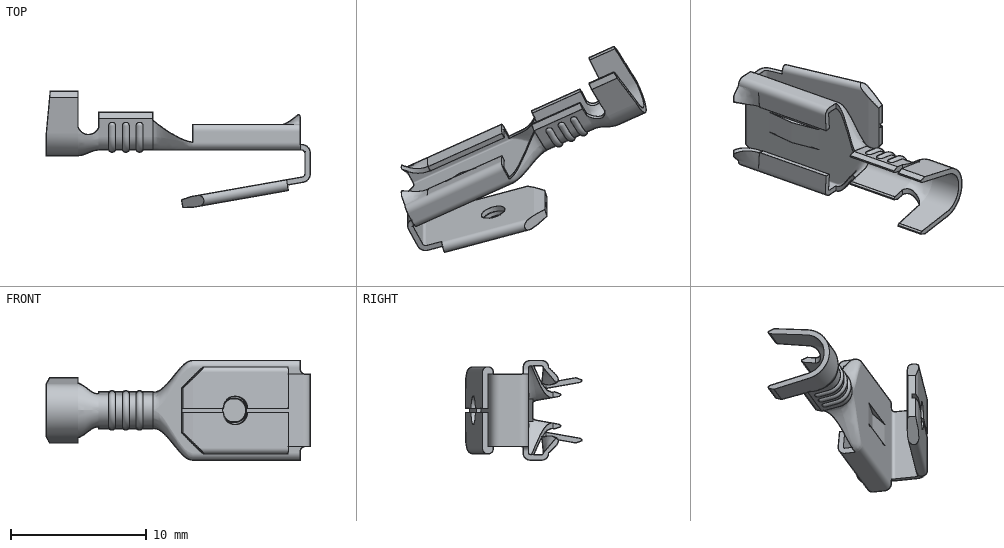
import cadquery as cq
import math

SHEET = 0.4
WING_LEAN = 10.0

CRIMP_END = 2.36
BARREL_START = 3.88
BARREL_END = 7.88
BOX_START = 10.8
BOX_END = 18.77
OVERALL_LENGTH = 19.51

CRIMP_RADIUS = 1.97
CRIMP_BASE = -0.43
CRIMP_TOP = 4.35
CRIMP_FRONT_SLANT = 0.3
CRIMP_BEND_TOP = 1.2

BARREL_RADIUS = 1.15
BARREL_TOP = 2.79
RIB_RADIUS = 0.27
RIB_HEIGHT = 0.18
RIB_TOP = 2.09
RIB_PITCH = 1.01
RIB_COUNT = 3

TIP_OUTER_BEVEL = 0.4
TIP_INNER_BEVEL = 0.15
TIP_OUTER_DEPTH = 0.23
TIP_INNER_DEPTH = 0.08

NECK_RIM = 1.72
SADDLE_RADIUS = 0.8
SADDLE_BOTTOM = 1.15

FUNNEL_FLAT_START = 0.02
FUNNEL_RIM_START = 2.2
FUNNEL_RIM_END = 0.59
FUNNEL_RIM_POWER = 1.5

BOX_HALF_WIDTH = 3.69
BOX_HEIGHT = 1.9
BOX_BEND = 0.53
FLANGE_LENGTH = 1.2
FLANGE_DIP = 5.0
FLARE_START = 16.92
FLARE_ANGLE = 45.0
FLARE_TOP = 2.65
FLARE_CORNER = 0.23

NECK_STEPS = 4
FUNNEL_STEPS = 6
FLARE_STEPS = 4

DETENT_START = 12.49
DETENT_END = 16.97
DETENT_DEPTH = 0.31
DETENT_HALF_WIDTH = 0.84

STRIP_HALF_WIDTH = 2.67
STRIP_BEND = 0.65
STRIP_LOWER_CENTRE = -1.75
STRIP_CORNER = 0.39
TAB_LEAN = 10.0

TAB_ROOT = 17.75
TAB_TIP = 9.97
TAB_HALF_WIDTH = 3.22
TAB_TIP_HALF_WIDTH = 1.64
TAB_CORNER_LENGTH = 1.6
TAB_BEVEL_LENGTH = 0.76
TAB_BEVEL_DEPTH = 0.12
SLOT_WIDTH = 0.3
HOLE_X = 13.85
HOLE_RADIUS = 0.9


def ease(fraction):
    """S-curve from 0 to 1 with flat ends."""
    return fraction * fraction * (3 - 2 * fraction)


def blend(start, end, fraction):
    return start + (end - start) * fraction


def on_arc(centre, radius, angle):
    """Point in (Z, Y) at an angle turned from -Y toward +Z."""
    a = math.radians(angle)
    return centre[0] + radius * math.sin(a), centre[1] - radius * math.cos(a)


def along(point, lean, distance, depth=0.0):
    """Point at a distance up a leaning wall and a depth to its inner side, in (Z, Y)."""
    a = math.radians(lean)
    return (point[0] + distance * math.sin(a) - depth * math.cos(a),
            point[1] + distance * math.cos(a) + depth * math.sin(a))


def section_plane(x):
    """Plane across the terminal: local x is Z, local y is Y."""
    return cq.Plane(origin=(x, 0, 0), xDir=(0, 0, 1), normal=(-1, 0, 0))


def half_channel(x, half_floor, radius, lean, base, rim, bevelled=False):
    """+Z half of a U-shaped sheet section at station x, ending at height rim."""
    turn = 90 - lean
    centre = (half_floor, base + radius)
    inner = radius - SHEET
    outer_bend = on_arc(centre, radius, turn)
    inner_bend = on_arc(centre, inner, turn)
    rise = math.cos(math.radians(lean))
    outer_length = (rim - outer_bend[1]) / rise
    inner_length = (rim - inner_bend[1]) / rise
    path = cq.Workplane(section_plane(x)).moveTo(0, base)
    if half_floor > 0:
        path = path.lineTo(half_floor, base)
    path = path.threePointArc(on_arc(centre, radius, turn / 2), outer_bend)
    if bevelled:
        tip_length = (rim - along(inner_bend, lean, 0, -TIP_INNER_DEPTH)[1]) / rise
        path = (path.lineTo(*along(outer_bend, lean, tip_length - TIP_OUTER_BEVEL))
                .lineTo(*along(outer_bend, lean, tip_length, TIP_OUTER_DEPTH))
                .lineTo(*along(inner_bend, lean, tip_length, -TIP_INNER_DEPTH))
                .lineTo(*along(inner_bend, lean, tip_length - TIP_INNER_BEVEL)))
    else:
        path = (path.lineTo(*along(outer_bend, lean, outer_length))
                .lineTo(*along(inner_bend, lean, inner_length)))
    path = (path.lineTo(*inner_bend)
            .threePointArc(on_arc(centre, inner, turn / 2), (half_floor, base + SHEET)))
    if half_floor > 0:
        path = path.lineTo(0, base + SHEET)
    return path.close()


def both_sides(half):
    return half.union(half.mirror("XY"))


def straight_channel(start, end, radius, base, top):
    half = half_channel(start, 0, radius, WING_LEAN, base, top, True)
    return both_sides(half.extrude(start - end))


def loft(sections):
    return cq.Workplane(cq.Solid.makeLoft([section.val() for section in sections]))


def lofted_channel(start, end, steps, shape):
    """Channel whose section is set by shape(fraction of the way along)."""
    fractions = [step / steps for step in range(steps + 1)]
    return both_sides(loft([half_channel(blend(start, end, f), *shape(f)) for f in fractions]))


def insulation_crimp():
    """Rolled crimp whose wings slope back at the front edge."""
    crimp = straight_channel(0, CRIMP_END, CRIMP_RADIUS, CRIMP_BASE, CRIMP_TOP)
    slant = (cq.Workplane("XY").moveTo(0, CRIMP_BEND_TOP).lineTo(CRIMP_FRONT_SLANT, CRIMP_TOP)
             .lineTo(0, CRIMP_TOP).close().extrude(2 * CRIMP_RADIUS, both=True))
    return crimp.cut(slant)


def neck():
    """Taper from crimp to wire barrel, dished between the two sets of wings."""
    def shape(fraction):
        part = ease(fraction)
        radius = blend(CRIMP_RADIUS, BARREL_RADIUS, part)
        return 0, radius, WING_LEAN, blend(CRIMP_BASE, 0, part), NECK_RIM

    body = lofted_channel(CRIMP_END, BARREL_START, NECK_STEPS, shape)
    saddle = (cq.Workplane("XY")
              .center((CRIMP_END + BARREL_START) / 2, SADDLE_BOTTOM + SADDLE_RADIUS)
              .circle(SADDLE_RADIUS).extrude(2 * CRIMP_RADIUS, both=True))
    return body.cut(saddle)


def wire_barrel():
    return straight_channel(BARREL_START, BARREL_END, BARREL_RADIUS, 0, BARREL_TOP)


def half_rib(x):
    """Round bead pressed out of one side of the wire barrel."""
    offset = RIB_HEIGHT - RIB_RADIUS
    centre = (0, BARREL_RADIUS)
    turn = 90 - WING_LEAN
    radius = BARREL_RADIUS + offset
    bend = on_arc(centre, radius, turn)
    rise = math.cos(math.radians(WING_LEAN))
    end = along(bend, WING_LEAN, (RIB_TOP - RIB_RADIUS - bend[1]) / rise)
    path = (cq.Workplane(section_plane(x)).moveTo(0, -offset)
            .threePointArc(on_arc(centre, radius, turn / 2), bend).lineTo(*end))
    bead = (cq.Workplane(cq.Plane(origin=(x, -offset, 0), xDir=(1, 0, 0), normal=(0, 0, 1)))
            .circle(RIB_RADIUS).sweep(path))
    cap = cq.Workplane("XY").sphere(RIB_RADIUS).translate((x, end[1], end[0]))
    return bead.union(cap)


def ribs():
    middle = (BARREL_START + BARREL_END) / 2
    beads = cq.Workplane("XY")
    for index in range(RIB_COUNT):
        x = middle + (index - (RIB_COUNT - 1) / 2) * RIB_PITCH
        beads = beads.union(both_sides(half_rib(x)))
    return beads


def funnel():
    """Open channel widening from the round wire barrel to the flat box floor."""
    def shape(fraction):
        part = ease(fraction)
        half_floor = blend(FUNNEL_FLAT_START, BOX_HALF_WIDTH - BOX_BEND, part)
        radius = blend(BARREL_RADIUS - FUNNEL_FLAT_START, BOX_BEND, part)
        rim = blend(FUNNEL_RIM_END, FUNNEL_RIM_START, (1 - fraction) ** FUNNEL_RIM_POWER)
        return half_floor, radius, blend(WING_LEAN, 0, part), 0, rim

    return lofted_channel(BARREL_END, BOX_START, FUNNEL_STEPS, shape)


def box():
    """C-shaped receptacle with both flanges returned over the floor."""
    lower = (BOX_HALF_WIDTH - BOX_BEND, BOX_BEND)
    upper = (BOX_HALF_WIDTH - BOX_BEND, BOX_HEIGHT - BOX_BEND)
    inner = BOX_BEND - SHEET
    flange_turn = 180 + FLANGE_DIP
    flange_lean = -90 - FLANGE_DIP
    outer_end = on_arc(upper, BOX_BEND, flange_turn)
    inner_end = on_arc(upper, inner, flange_turn)
    half = (cq.Workplane(section_plane(BOX_START)).lineTo(lower[0], 0)
            .threePointArc(on_arc(lower, BOX_BEND, 45), on_arc(lower, BOX_BEND, 90))
            .lineTo(*on_arc(upper, BOX_BEND, 90))
            .threePointArc(on_arc(upper, BOX_BEND, 135), outer_end)
            .lineTo(*along(outer_end, flange_lean, FLANGE_LENGTH))
            .lineTo(*along(inner_end, flange_lean, FLANGE_LENGTH))
            .lineTo(*inner_end)
            .threePointArc(on_arc(upper, inner, 135), on_arc(upper, inner, 90))
            .lineTo(*on_arc(lower, inner, 90))
            .threePointArc(on_arc(lower, inner, 45), (lower[0], SHEET))
            .lineTo(0, SHEET).close().extrude(BOX_START - BOX_END))
    flare_zone = (cq.Workplane("XY")
                  .box(BOX_END - FLARE_START, SHEET + BOX_BEND, lower[0], centered=False)
                  .translate((FLARE_START, BOX_HEIGHT - SHEET - BOX_BEND / 2, 0)))
    return both_sides(half.cut(flare_zone).union(flare()))


def flare():
    """Lead-in: the flange end twisted progressively up and outward."""
    hinge = (BOX_HALF_WIDTH - BOX_BEND, BOX_HEIGHT)

    def section(fraction):
        rise = blend(-FLANGE_DIP, FLARE_ANGLE, fraction ** 2)
        lean = rise - 90
        return (cq.Workplane(section_plane(blend(FLARE_START, BOX_END, fraction)))
                .moveTo(*hinge)
                .lineTo(*along(hinge, lean, FLANGE_LENGTH))
                .lineTo(*along(hinge, lean, FLANGE_LENGTH, SHEET))
                .lineTo(hinge[0], hinge[1] - SHEET).close())

    lip = loft([section(step / FLARE_STEPS) for step in range(FLARE_STEPS + 1)])
    centre_x = BOX_END - FLARE_CORNER
    centre_y = FLARE_TOP - FLARE_CORNER
    mid = FLARE_CORNER * math.sqrt(0.5)
    above = FLARE_TOP + FLARE_CORNER
    rounding = (cq.Workplane("XY").moveTo(BOX_END, centre_y)
                .threePointArc((centre_x + mid, centre_y + mid), (centre_x, FLARE_TOP))
                .lineTo(centre_x, above).lineTo(BOX_END, above).close().extrude(BOX_HALF_WIDTH))
    return lip.cut(rounding)


def press_detent(body):
    """V-shaped dent: recessed outside, raised by the same amount inside the box."""
    def wedge(face):
        return (cq.Workplane("XY").moveTo(DETENT_START, face)
                .lineTo((DETENT_START + DETENT_END) / 2, face + DETENT_DEPTH)
                .lineTo(DETENT_END, face).close().extrude(DETENT_HALF_WIDTH, both=True))

    return body.union(wedge(SHEET)).cut(wedge(0))


def on_bend(y, radius, angle):
    """Point in (X, Y) on a strip bend; angle turns from +X toward +Y."""
    a = math.radians(angle)
    return OVERALL_LENGTH - STRIP_BEND + radius * math.cos(a), y + radius * math.sin(a)


UPPER_CENTRE = SHEET - STRIP_BEND
STRIP_INNER = STRIP_BEND - SHEET
LOWER_TURN = TAB_LEAN - 90
LOWER_INNER = on_bend(STRIP_LOWER_CENTRE, STRIP_INNER, LOWER_TURN)
TAB_SLOPE = math.tan(math.radians(TAB_LEAN))
TAB_ORIGIN = (TAB_ROOT, LOWER_INNER[1] - (LOWER_INNER[0] - TAB_ROOT) * TAB_SLOPE)


def strip():
    """Strip curling from the box floor down and back to the tab."""
    y_up, y_low = UPPER_CENTRE, STRIP_LOWER_CENTRE
    root_outer = (TAB_ORIGIN[0] + SHEET * math.sin(math.radians(TAB_LEAN)),
                  TAB_ORIGIN[1] - SHEET * math.cos(math.radians(TAB_LEAN)))
    band = (cq.Workplane("XY").moveTo(BOX_END, SHEET).lineTo(*on_bend(y_up, STRIP_BEND, 90))
            .threePointArc(on_bend(y_up, STRIP_BEND, 45), on_bend(y_up, STRIP_BEND, 0))
            .lineTo(*on_bend(y_low, STRIP_BEND, 0))
            .threePointArc(on_bend(y_low, STRIP_BEND, LOWER_TURN / 2),
                           on_bend(y_low, STRIP_BEND, LOWER_TURN))
            .lineTo(*root_outer).lineTo(*TAB_ORIGIN).lineTo(*LOWER_INNER)
            .threePointArc(on_bend(y_low, STRIP_INNER, LOWER_TURN / 2),
                           on_bend(y_low, STRIP_INNER, 0))
            .lineTo(*on_bend(y_up, STRIP_INNER, 0))
            .threePointArc(on_bend(y_up, STRIP_INNER, 45), on_bend(y_up, STRIP_INNER, 90))
            .lineTo(BOX_END, 0).close()
            .extrude(STRIP_HALF_WIDTH + STRIP_CORNER, both=True))
    trim = strip_edge_trim()
    return band.cut(trim).cut(trim.mirror("XY"))


def strip_edge_trim():
    """Material outside the +Z edge of the strip, with a concave corner at its root."""
    corner_end = BOX_END + STRIP_CORNER
    edge = STRIP_HALF_WIDTH + STRIP_CORNER
    below_floor = (cq.Workplane("XY").box(OVERALL_LENGTH, OVERALL_LENGTH, STRIP_CORNER, centered=False)
                   .translate((0, UPPER_CENTRE / 2 - OVERALL_LENGTH, STRIP_HALF_WIDTH)))
    mid = STRIP_CORNER * math.sqrt(0.5)
    corner = (cq.Workplane("XZ").moveTo(BOX_END, edge)
              .threePointArc((corner_end - mid, edge - mid), (corner_end, STRIP_HALF_WIDTH))
              .lineTo(OVERALL_LENGTH, STRIP_HALF_WIDTH).lineTo(OVERALL_LENGTH, edge)
              .close().extrude(BOX_HEIGHT, both=True))
    return below_floor.union(corner)


def tab():
    """Double-thickness blade with rolled edges, drawn flat and then tilted into place."""
    lean_cos = math.cos(math.radians(TAB_LEAN))
    length = (TAB_ROOT - TAB_TIP) / lean_cos
    corner = TAB_CORNER_LENGTH / lean_cos
    thickness = 2 * SHEET
    blade = (cq.Workplane(section_plane(0)).center(0, -SHEET)
             .slot2D(2 * TAB_HALF_WIDTH, thickness).extrude(length))
    outline = (cq.Workplane("XZ").moveTo(0, -TAB_HALF_WIDTH).lineTo(corner - length, -TAB_HALF_WIDTH)
               .lineTo(-length, -TAB_TIP_HALF_WIDTH).lineTo(-length, TAB_TIP_HALF_WIDTH)
               .lineTo(corner - length, TAB_HALF_WIDTH).lineTo(0, TAB_HALF_WIDTH)
               .close().extrude(thickness))
    profile = (cq.Workplane("XY").lineTo(TAB_BEVEL_LENGTH - length, 0).lineTo(-length, -TAB_BEVEL_DEPTH)
               .lineTo(-length, TAB_BEVEL_DEPTH - thickness).lineTo(TAB_BEVEL_LENGTH - length, -thickness)
               .lineTo(0, -thickness).close().extrude(TAB_HALF_WIDTH, both=True))
    hole_x = (HOLE_X - TAB_ROOT) / lean_cos
    hole = cq.Workplane("XZ").center(hole_x, 0).circle(HOLE_RADIUS).extrude(thickness)
    seam = (cq.Workplane("XZ", origin=(0, -SHEET, 0)).center(-length / 2, 0)
            .rect(length, SLOT_WIDTH).extrude(SHEET))
    seam_hole = (cq.Workplane("XZ", origin=(0, -SHEET, 0)).center(hole_x, 0)
                 .slot2D(2 * HOLE_RADIUS + SLOT_WIDTH, 2 * HOLE_RADIUS, 90).extrude(SHEET))
    flat = blade.intersect(outline).intersect(profile).cut(hole).cut(seam).cut(seam_hole)
    return flat.rotate((0, 0, 0), (0, 0, 1), TAB_LEAN).translate((*TAB_ORIGIN, 0))


result = (
    insulation_crimp()
    .union(neck())
    .union(wire_barrel())
    .union(ribs())
    .union(funnel())
    .union(press_detent(box()))
    .union(strip())
    .union(tab())
)